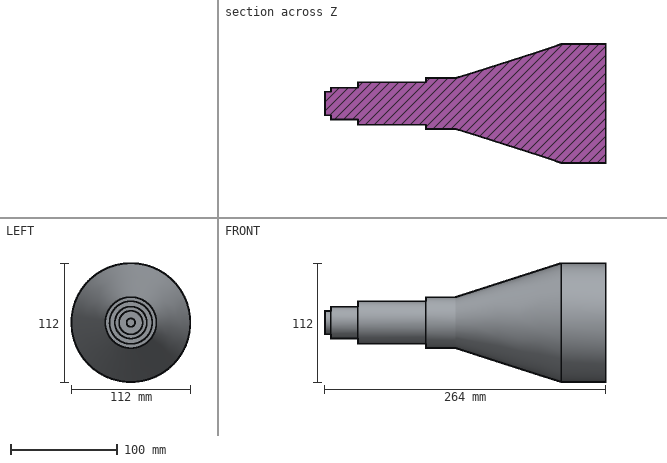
import cadquery as cq

length = 264.0
tip_end = 5.8
journal_end = 31.2
shaft_end = 95.0
collar_end = 122.8
cone_end = 222.0

tip_radius = 11.0
journal_radius = 15.0
shaft_radius = 20.0
collar_radius = 24.0
rim_radius = 56.0

recess_radius = 4.0
recess_depth = 0.3

half_section = [
    (recess_depth, 0),
    (recess_depth, recess_radius),
    (0, recess_radius),
    (0, tip_radius),
    (tip_end, tip_radius),
    (tip_end, journal_radius),
    (journal_end, journal_radius),
    (journal_end, shaft_radius),
    (shaft_end, shaft_radius),
    (shaft_end, collar_radius),
    (collar_end, collar_radius),
    (cone_end, rim_radius),
    (length, rim_radius),
    (length, 0),
]
result = cq.Workplane("XZ").polyline(half_section).close().revolve(360, (0, 0), (1, 0))